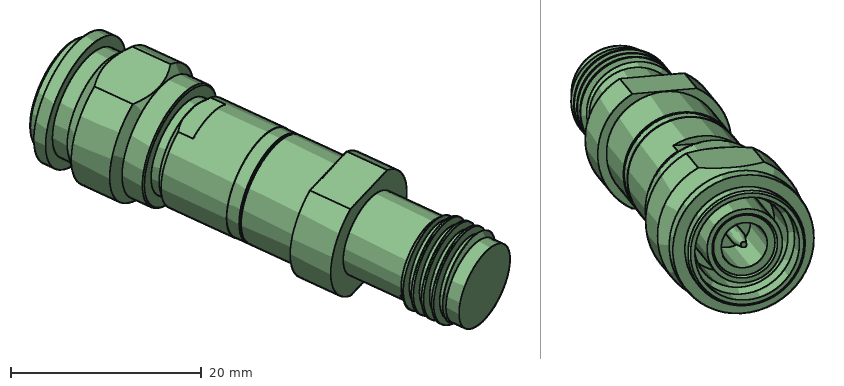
import cadquery as cq

LENGTH = 53.0
FLAT_CUTTER_SIZE = 21.2

NUT_TUBE_RADIUS = 6.35
NUT_FRONT_CHAMFER = 0.2
FLANGE_DIAMETER = 15.3
FLANGE_RADIUS = FLANGE_DIAMETER / 2
FLANGE_START = 1.5
FLANGE_END = 2.95
NUT_GRIP_RADIUS = 8.0
NUT_FRONT_CONE_START = 4.8
NUT_GRIP_START = 6.4
NUT_GRIP_END = 11.25
NUT_FLAT_HEIGHT = 7.15
NUT_COLLAR_RADIUS = 7.1
NUT_COLLAR_START = 12.2
NUT_END = 14.9
NUT_REAR_CHAMFER = 0.15
NUT_MOUTH_RADIUS = 5.65
NUT_MOUTH_DEPTH = 1.95
NUT_BORE_RADIUS = 5.1
NUT_BORE_START = 2.5

SOCKET_FLOOR = 7.95
BARREL_RADIUS = 4.1
BARREL_FRONT = 0.95
BARREL_BORE_RADIUS = 2.5
BARREL_RIM_RADIUS = 3.55
BARREL_RECESS_RADIUS = 3.35
BARREL_RECESS_DEPTH = 0.2
NECK_RADIUS = 5.65
NECK_END = 15.9
FRONT_CYLINDER_RADIUS = 6.35
FRONT_FLAT_HEIGHT = 5.55
FRONT_FLAT_END = 18.45

MIDDLE_START = 24.8
MIDDLE_RADIUS = 6.3
RING_GROOVE_START = 26.35
RING_GROOVE_WIDTH = 0.2
RING_GROOVE_DEPTH = 0.1

COLLAR_START = 33.4
COLLAR_END = 38.5
COLLAR_RADIUS = 7.25
COLLAR_FLAT_HEIGHT = 6.35
TAIL_RADIUS = 4.9
THREAD_RADIUS = 5.5
THREAD_START = 45.75
THREAD_END = 51.35
THREAD_PITCH = 1.25
THREAD_CREST_WIDTH = 0.25
THREAD_ROOT_RADIUS = 4.75
THREAD_ROOT_WIDTH = 0.5
THREAD_CUT_CLEARANCE = 0.15
THREAD_GROOVE_RUN = 5.3
THREAD_START_ANGLE = -70.0

PIN_TIP = 1.4
PIN_TIP_RADIUS = 0.3
PIN_RADIUS = 0.75
PIN_TAPER_LENGTH = 2.1


def revolve_profile(points):
    """Solid of revolution about the X axis from (x, radius) points."""
    half_section = [(x, -radius) for x, radius in points]
    return cq.Workplane("XY").polyline(half_section).close().revolve(360, (0, 0, 0), (1, 0, 0))


def cut_flats(body, start, end, flat_height):
    """Mill two flats, facing +Z and -Z, into the stretch of a body from start to end along X."""
    cutter = cq.Workplane("XY").box(end - start, FLAT_CUTTER_SIZE, FLAT_CUTTER_SIZE)
    for side in (1, -1):
        height = side * (flat_height + FLAT_CUTTER_SIZE / 2)
        body = body.cut(cutter.translate(((start + end) / 2, 0, height)))
    return body


def make_nut():
    nut = revolve_profile([
        (0, NUT_MOUTH_RADIUS),
        (0, NUT_TUBE_RADIUS - NUT_FRONT_CHAMFER),
        (NUT_FRONT_CHAMFER, NUT_TUBE_RADIUS),
        (FLANGE_START, NUT_TUBE_RADIUS),
        (FLANGE_START, FLANGE_RADIUS),
        (FLANGE_END, FLANGE_RADIUS),
        (FLANGE_END, NUT_TUBE_RADIUS),
        (NUT_FRONT_CONE_START, NUT_TUBE_RADIUS),
        (NUT_GRIP_START, NUT_GRIP_RADIUS),
        (NUT_GRIP_END, NUT_GRIP_RADIUS),
        (NUT_COLLAR_START, NUT_COLLAR_RADIUS),
        (NUT_END - NUT_REAR_CHAMFER, NUT_COLLAR_RADIUS),
        (NUT_END, NUT_COLLAR_RADIUS - NUT_REAR_CHAMFER),
        (NUT_END, NUT_BORE_RADIUS),
        (NUT_BORE_START, NUT_BORE_RADIUS),
        (NUT_MOUTH_DEPTH, NUT_MOUTH_RADIUS),
    ])
    return cut_flats(nut, NUT_FRONT_CONE_START, NUT_COLLAR_START, NUT_FLAT_HEIGHT)


def make_housing_core():
    """Turned housing without its flats and thread."""
    front_cone_end = NECK_END + FRONT_CYLINDER_RADIUS - NECK_RADIUS
    recess_floor = BARREL_FRONT + BARREL_RECESS_DEPTH
    groove_end = RING_GROOVE_START + RING_GROOVE_WIDTH
    return revolve_profile([
        (SOCKET_FLOOR, 0),
        (SOCKET_FLOOR, BARREL_BORE_RADIUS),
        (recess_floor, BARREL_BORE_RADIUS),
        (recess_floor, BARREL_RECESS_RADIUS),
        (BARREL_FRONT, BARREL_RIM_RADIUS),
        (BARREL_FRONT, BARREL_RADIUS),
        (SOCKET_FLOOR, BARREL_RADIUS),
        (SOCKET_FLOOR, NUT_BORE_RADIUS),
        (NUT_END, NUT_BORE_RADIUS),
        (NUT_END, NECK_RADIUS),
        (NECK_END, NECK_RADIUS),
        (front_cone_end, FRONT_CYLINDER_RADIUS),
        (MIDDLE_START, FRONT_CYLINDER_RADIUS),
        (MIDDLE_START, MIDDLE_RADIUS),
        (RING_GROOVE_START, MIDDLE_RADIUS),
        (RING_GROOVE_START, MIDDLE_RADIUS - RING_GROOVE_DEPTH),
        (groove_end, MIDDLE_RADIUS - RING_GROOVE_DEPTH),
        (groove_end, MIDDLE_RADIUS),
        (COLLAR_START, MIDDLE_RADIUS),
        (COLLAR_START, COLLAR_RADIUS),
        (COLLAR_END, COLLAR_RADIUS),
        (COLLAR_END, TAIL_RADIUS),
        (LENGTH, TAIL_RADIUS),
        (LENGTH, 0),
    ])


def make_thread_blank():
    """Raised stretch of the tail, chamfered at both ends, that carries the thread."""
    chamfer = THREAD_RADIUS - TAIL_RADIUS
    return revolve_profile([
        (THREAD_START, 0),
        (THREAD_START, TAIL_RADIUS),
        (THREAD_START + chamfer, THREAD_RADIUS),
        (THREAD_END - chamfer, THREAD_RADIUS),
        (THREAD_END, TAIL_RADIUS),
        (THREAD_END, 0),
    ])


def make_thread_groove():
    """Right-handed helical cutter whose flanks run on past the thread crests."""
    crest_half_width = (THREAD_PITCH - THREAD_CREST_WIDTH) / 2
    root_half_width = THREAD_ROOT_WIDTH / 2
    flank_slope = (crest_half_width - root_half_width) / (THREAD_RADIUS - THREAD_ROOT_RADIUS)
    outer_radius = THREAD_RADIUS + THREAD_CUT_CLEARANCE
    outer_half_width = crest_half_width + flank_slope * THREAD_CUT_CLEARANCE
    profile = cq.Workplane("XZ").polyline([
        (THREAD_ROOT_RADIUS, -root_half_width),
        (outer_radius, -outer_half_width),
        (outer_radius, outer_half_width),
        (THREAD_ROOT_RADIUS, root_half_width),
    ]).close()
    path = cq.Wire.makeHelix(THREAD_PITCH, THREAD_GROOVE_RUN, THREAD_ROOT_RADIUS)
    cutter = profile.sweep(cq.Workplane(path), isFrenet=True)
    cutter = cutter.rotate((0, 0, 0), (0, 1, 0), 90)
    cutter = cutter.rotate((0, 0, 0), (1, 0, 0), THREAD_START_ANGLE)
    return cutter.translate((THREAD_START, 0, 0))


def make_housing():
    housing = make_housing_core()
    housing = cut_flats(housing, NECK_END, FRONT_FLAT_END, FRONT_FLAT_HEIGHT)
    housing = cut_flats(housing, COLLAR_START, COLLAR_END, COLLAR_FLAT_HEIGHT)
    return housing.union(make_thread_blank()).cut(make_thread_groove())


def make_pin():
    """Centre pin standing on the floor of the barrel bore."""
    return revolve_profile([
        (PIN_TIP, 0),
        (PIN_TIP, PIN_TIP_RADIUS),
        (PIN_TIP + PIN_TAPER_LENGTH, PIN_RADIUS),
        (SOCKET_FLOOR, PIN_RADIUS),
        (SOCKET_FLOOR, 0),
    ])


nut = make_nut()
housing = make_housing()
pin = make_pin()

result = cq.Compound.makeCompound([nut.val(), housing.val(), pin.val()])